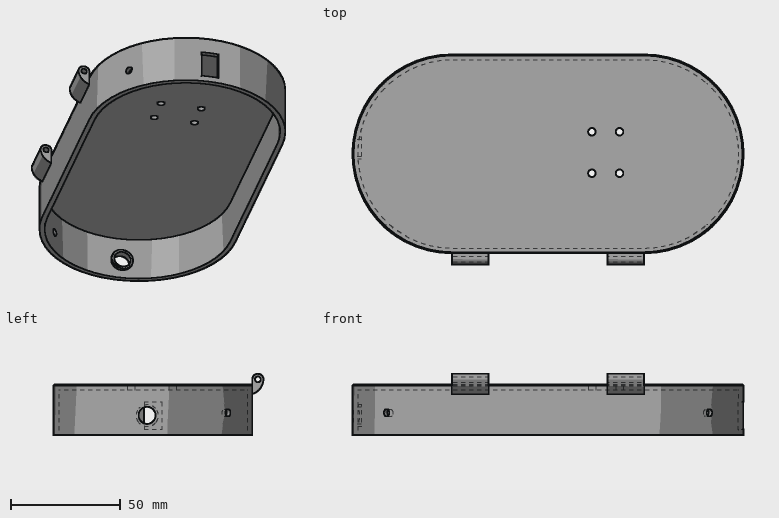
import cadquery as cq
import math

body_length = 178.35
body_width = 90.75
body_height = 23.1
end_radius = body_width / 2
end_center_x = body_length / 2 - end_radius
wall = 2.4
top_thickness = 2.5
top_chamfer = 0.6

total_height = 28.0
total_depth = 95.82
hinge_length = 16.75
knuckle_radius = 2.6
pin_diameter = 2.53
hinge_outer_y = body_width / 2 - total_depth
hinge_foot_z = 18.7
hinge_bulge_radius = 7.4
knuckle_z = total_height - knuckle_radius
knuckle_y = hinge_outer_y + knuckle_radius

screw_diameter = 3.33
screw_spacing_x = 12.6
screw_spacing_y = 18.9
screw_center_x = 26.3
screw_center_y = 0.6

cable_hole_diameter = 7.7
cable_hole_y = 2.7
cable_hole_z = 9.0
cable_boss_diameter = 10.0
cable_boss_depth = 4.0
slot_width = 8.0
slot_height = 12.6

indicator_diameter = 3.33
indicator_angle = 49.0
indicator_z = 10.2


def stadium(radius, height):
    overall_length = 2 * (end_center_x + radius)
    return cq.Workplane("XY").slot2D(overall_length, 2 * radius).extrude(height)


def shell():
    outer = stadium(end_radius, body_height).faces(">Z").edges().chamfer(top_chamfer)
    return outer.cut(stadium(end_radius - wall, body_height - top_thickness))


def hinge(start_x):
    wall_y = -body_width / 2
    inner_y = knuckle_y + knuckle_radius
    anchor_y = wall_y + wall / 2
    knuckle = (
        cq.Workplane("YZ", origin=(start_x, 0, 0))
        .moveTo(inner_y, knuckle_z)
        .threePointArc((knuckle_y, total_height), (hinge_outer_y, knuckle_z))
        .radiusArc((wall_y, hinge_foot_z), -hinge_bulge_radius)
        .lineTo(anchor_y, hinge_foot_z)
        .lineTo(anchor_y, body_height - top_chamfer)
        .lineTo(inner_y, body_height - top_chamfer)
        .close()
        .extrude(hinge_length)
    )
    pin = (
        cq.Workplane("YZ", origin=(start_x, knuckle_y, knuckle_z))
        .circle(pin_diameter / 2)
        .extrude(hinge_length)
    )
    return knuckle.cut(pin)


def screw_holes():
    return (
        cq.Workplane("XY", origin=(screw_center_x, screw_center_y, 0))
        .rarray(screw_spacing_x, screw_spacing_y, 2, 2)
        .circle(screw_diameter / 2)
        .extrude(body_height)
    )


def cable_hole():
    return (
        cq.Workplane("YZ", origin=(-body_length / 2, cable_hole_y, cable_hole_z))
        .circle(cable_hole_diameter / 2)
        .extrude(end_radius)
    )


def cable_boss():
    boss_start_x = -body_length / 2 + wall / 2
    return (
        cq.Workplane("YZ", origin=(boss_start_x, cable_hole_y, cable_hole_z))
        .circle(cable_boss_diameter / 2)
        .extrude(cable_boss_depth - wall / 2)
    )


def end_slot():
    return cq.Workplane("XY", origin=(end_center_x, 0, cable_hole_z)).box(
        body_length, slot_width, slot_height, centered=(False, True, True)
    )


def indicator_hole(side):
    angle = math.radians(indicator_angle)
    direction = cq.Vector(side * math.cos(angle), -math.sin(angle), 0)
    center = cq.Vector(side * end_center_x, 0, indicator_z)
    start = center + direction * (end_radius - 1.5 * wall)
    return cq.Workplane(cq.Solid.makeCylinder(indicator_diameter / 2, 2 * wall, start, direction))


result = shell().union(cable_boss())
for hinge_start_x in (-end_center_x, end_center_x - hinge_length):
    result = result.union(hinge(hinge_start_x))
result = result.cut(screw_holes()).cut(cable_hole()).cut(end_slot())
for side in (-1, 1):
    result = result.cut(indicator_hole(side))